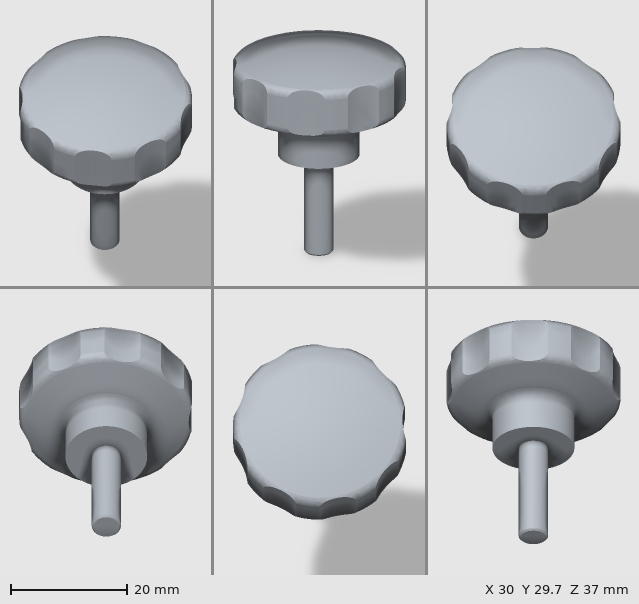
import cadquery as cq
import math

total_height = 37.0
stud_length = 18.0
knob_height = total_height - stud_length

stud_radius = 2.5
stud_chamfer = 0.3

hub_radius = 7.03
flare_corner_z = 6.95
flare_fillet = 1.45

head_radius = 15.0
head_bottom_corner_z = 9.1
head_top_corner_z = 17.02
rim_fillet = 1.48

scallop_count = 9
scallop_half_width = 3.15
scallop_floor_radius = 14.15

dome_rise = knob_height - head_top_corner_z
dome_radius = (head_radius**2 + dome_rise**2) / (2 * dome_rise)
dome_middle_radius = head_radius / 2
dome_middle_z = knob_height - dome_radius + math.sqrt(dome_radius**2 - dome_middle_radius**2)


def circles_at(body, radius, height):
    """Select the circular edge of the given radius and height."""
    margin = 0.05
    reach = radius + margin
    return body.edges(
        cq.selectors.BoxSelector(
            (-reach, -reach, height - margin), (reach, reach, height + margin), boundingbox=True
        )
    )


def make_knob():
    """Hub and domed head with the flare and both rim corners rounded."""
    knob = (
        cq.Workplane("XZ")
        .moveTo(0, 0)
        .lineTo(hub_radius, 0)
        .lineTo(hub_radius, flare_corner_z)
        .lineTo(head_radius, head_bottom_corner_z)
        .lineTo(head_radius, head_top_corner_z)
        .threePointArc((dome_middle_radius, dome_middle_z), (0, knob_height))
        .close()
        .revolve(360, (0, 0, 0), (0, 1, 0))
    )
    knob = circles_at(knob, hub_radius, flare_corner_z).fillet(flare_fillet)
    knob = circles_at(knob, head_radius, head_bottom_corner_z).fillet(rim_fillet)
    return circles_at(knob, head_radius, head_top_corner_z).fillet(rim_fillet)


def cut_scallops(knob):
    """Cut shallow round grooves parallel to the axis, one of them facing -Y."""
    depth = math.sqrt(head_radius**2 - scallop_half_width**2) - scallop_floor_radius
    scallop_radius = (scallop_half_width**2 + depth**2) / (2 * depth)
    cutters = (
        cq.Workplane("XY")
        .polarArray(scallop_floor_radius + scallop_radius, -90, 360, scallop_count)
        .circle(scallop_radius)
        .extrude(knob_height)
    )
    return knob.cut(cutters)


def make_stud():
    """Plain round stud below the hub with a chamfered tip."""
    return cq.Workplane("XY").circle(stud_radius).extrude(-stud_length).faces("<Z").chamfer(stud_chamfer)


result = cut_scallops(make_knob()).union(make_stud())